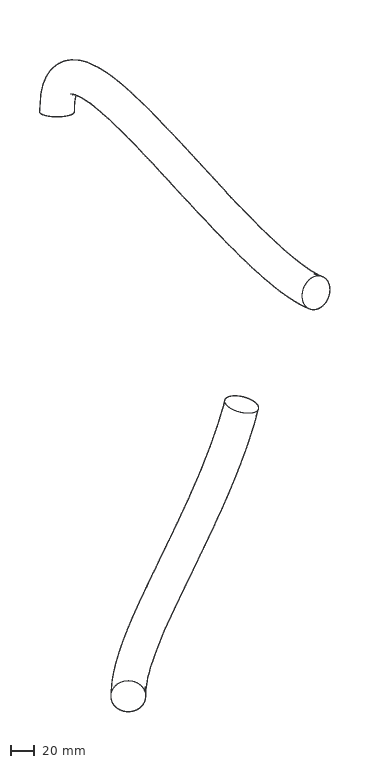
import cadquery as cq

rod_diameter = 29.5
overall_length = 346.7
overall_width = 51.5
end_drop = 81.5

rod_radius = rod_diameter / 2
end_x = overall_length - rod_radius
end_y = overall_width - rod_diameter
end_z = -end_drop

start_rise = 109.0
level_end_reach = 52.0
slope_control = (170.2, 17.0, -41.5)

centreline = cq.Workplane("XY").bezier(
    [
        (0, 0, 0),
        (0, 0, start_rise),
        slope_control,
        (end_x - level_end_reach, end_y, end_z),
        (end_x, end_y, end_z),
    ]
)

result = cq.Workplane("XY").circle(rod_radius).sweep(centreline)